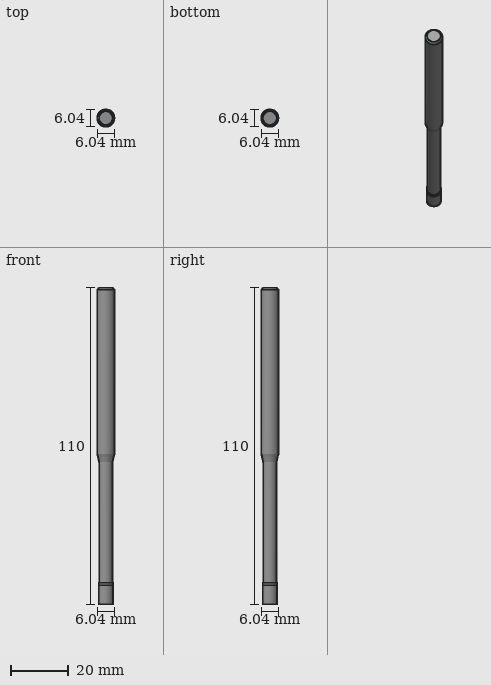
import cadquery as cq

total_length = 110.0
shank_radius = 3.02
neck_radius = 4.7 / 2
head_radius = 2.5

shank_bottom = 52.2
transition_step_height = 51.3
transition_step_radius = 2.8
neck_top = 49.4

head_length = 6.6
collar_height = 1.0

top_chamfer_width = 0.7
top_chamfer_height = 0.8


def make_shank():
    """Shank with chamfered top, tapering to the neck and ending in a collar as wide as the head."""
    profile = [
        (0, head_length),
        (head_radius, head_length),
        (head_radius, head_length + collar_height),
        (neck_radius, head_length + collar_height),
        (neck_radius, neck_top),
        (transition_step_radius, transition_step_height),
        (shank_radius, shank_bottom),
        (shank_radius, total_length - top_chamfer_height),
        (shank_radius - top_chamfer_width, total_length),
        (0, total_length),
    ]
    return cq.Workplane("XZ").polyline(profile).close().revolve(360, (0, 0), (0, 1))


def make_cutting_head():
    """Plain cylindrical head seated against the lower end of the shank."""
    return cq.Workplane("XY").circle(head_radius).extrude(head_length)


shank = make_shank()
cutting_head = make_cutting_head()

result = cq.Compound.makeCompound([shank.val(), cutting_head.val()])